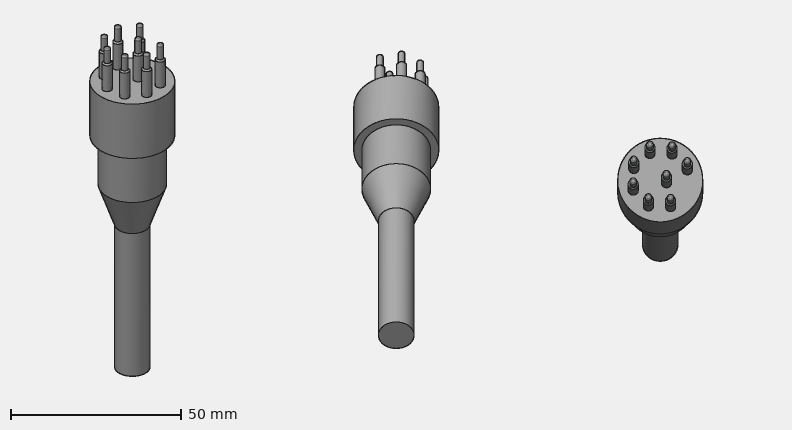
import cadquery as cq
import math

CABLE_DIAMETER = 10.5
CABLE_LENGTH = 50.0
TAPER_LENGTH = 14.0
SLEEVE_DIAMETER = 20.2
SLEEVE_LENGTH = 17.0
HEAD_DIAMETER = 25.0
HEAD_LENGTH = 19.0

PIN_SHANK_DIAMETER = 3.0
PIN_LENGTH = 14.5
PIN_TIP_DIAMETER = 2.0
PIN_TIP_LENGTH = 5.0
PIN_TIP_FILLET = 0.5
PIN_SHOULDER_HEIGHT = (PIN_SHANK_DIAMETER - PIN_TIP_DIAMETER) / 2

PIN_CIRCLE_RADIUS = 8.5
PIN_COUNT = 8
KEY_PIN_INDEX = 2
KEY_PIN_RADIUS = 2.0

TAPER_BOTTOM = CABLE_LENGTH
SLEEVE_BOTTOM = TAPER_BOTTOM + TAPER_LENGTH
HEAD_BOTTOM = SLEEVE_BOTTOM + SLEEVE_LENGTH
HEAD_TOP = HEAD_BOTTOM + HEAD_LENGTH


def make_body():
    """Cable, strain-relief taper, sleeve and head as one turned solid."""
    half_profile = [
        (0, 0),
        (CABLE_DIAMETER / 2, 0),
        (CABLE_DIAMETER / 2, TAPER_BOTTOM),
        (SLEEVE_DIAMETER / 2, SLEEVE_BOTTOM),
        (SLEEVE_DIAMETER / 2, HEAD_BOTTOM),
        (HEAD_DIAMETER / 2, HEAD_BOTTOM),
        (HEAD_DIAMETER / 2, HEAD_TOP),
        (0, HEAD_TOP),
    ]
    return cq.Workplane("XZ").polyline(half_profile).close().revolve(360, (0, 0), (0, 1))


def pin_places():
    """XY places of the pins on the head's end face."""
    places = []
    for index in range(PIN_COUNT):
        angle = 2 * math.pi * index / PIN_COUNT
        radius = KEY_PIN_RADIUS if index == KEY_PIN_INDEX else PIN_CIRCLE_RADIUS
        places.append((radius * math.cos(angle), radius * math.sin(angle)))
    return places


def make_pin():
    """One turned pin on the Z axis, standing on the head's end face, with a rounded tip."""
    shank_radius = PIN_SHANK_DIAMETER / 2
    tip_radius = PIN_TIP_DIAMETER / 2
    pin_top = HEAD_TOP + PIN_LENGTH
    tip_bottom = pin_top - PIN_TIP_LENGTH
    half_profile = [
        (0, HEAD_TOP),
        (shank_radius, HEAD_TOP),
        (shank_radius, tip_bottom - PIN_SHOULDER_HEIGHT),
        (tip_radius, tip_bottom),
        (tip_radius, pin_top),
        (0, pin_top),
    ]
    turned = cq.Workplane("XZ").polyline(half_profile).close().revolve(360, (0, 0), (0, 1))
    return turned.faces(">Z").edges().fillet(PIN_TIP_FILLET)


result = make_body()
pin = make_pin()
for x, y in pin_places():
    result = result.union(pin.translate((x, y, 0)))